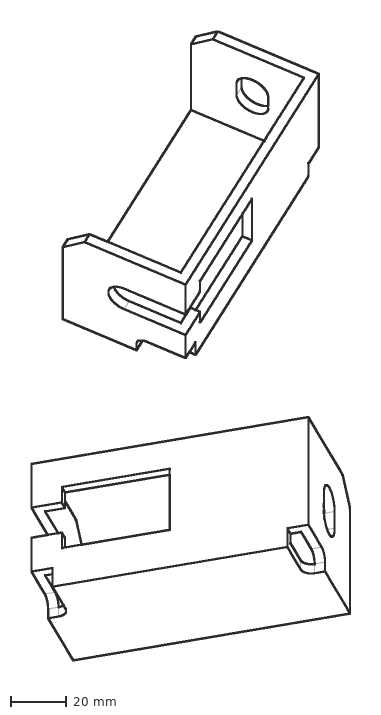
import cadquery as cq

depth = 50.0
length = 105.0
height = 54.0
wall = 4.0

corner_chamfer = 8.9

slot_width = 12.8
slot_x = depth / 2
slot_z = 28.9
far_slot_height = 20.0

window_y_min = 11.5
window_y_max = 52.4
window_height = 26.0

relief_x = 30.0
relief_reach = 2 * wall


def block(x_range, y_range, z_range):
    """Axis-aligned block between the given limits."""
    sizes = [high - low for low, high in (x_range, y_range, z_range)]
    origin = (x_range[0], y_range[0], z_range[0])
    return cq.Workplane("XY").box(*sizes, centered=False).translate(origin)


def tray():
    """Floor, back wall and two end walls with chamfered upper corners."""
    profile = (
        cq.Workplane("XZ")
        .moveTo(0, 0)
        .lineTo(depth, 0)
        .lineTo(depth, height)
        .lineTo(corner_chamfer, height)
        .lineTo(0, height - corner_chamfer)
        .close()
        .extrude(-length)
    )
    cavity = block((0, depth - wall), (wall, length - wall), (wall, height))
    return profile.cut(cavity)


def near_slot():
    """Round-ended slot in the -Y wall, running out through the back wall."""
    half = slot_width / 2
    round_end = (
        cq.Workplane("XZ").center(slot_x, slot_z).circle(half).extrude(-wall)
    )
    channel = block((slot_x, depth), (0, wall), (slot_z - half, slot_z + half))
    notch = block((depth - wall, depth), (0, window_y_min), (slot_z - half, slot_z + half))
    return round_end.union(channel).union(notch)


def far_slot():
    """Upright round-ended slot in the +Y wall."""
    return (
        cq.Workplane("XZ", origin=(slot_x, length, slot_z))
        .slot2D(far_slot_height, slot_width, 90)
        .extrude(wall)
    )


def window():
    """Rectangular opening in the back wall."""
    half = window_height / 2
    return block(
        (depth - wall, depth), (window_y_min, window_y_max), (slot_z - half, slot_z + half)
    )


def rounded_relief(plane, thickness):
    """Relief cut through one plate: one corner rounded with the wall thickness as radius."""
    return (
        cq.Workplane(plane)
        .moveTo(relief_x, 0)
        .lineTo(depth, 0)
        .lineTo(depth, relief_reach)
        .lineTo(relief_x + wall, relief_reach)
        .radiusArc((relief_x, relief_reach - wall), -wall)
        .close()
        .extrude(thickness)
    )


near_relief = rounded_relief("XY", wall).union(rounded_relief("XZ", -wall)).union(
    block((depth - wall, depth), (0, relief_reach), (0, relief_reach))
)
far_relief = near_relief.mirror("XZ").translate((0, length, 0))

result = tray()
for opening in (near_slot(), far_slot(), window(), near_relief, far_relief):
    result = result.cut(opening)